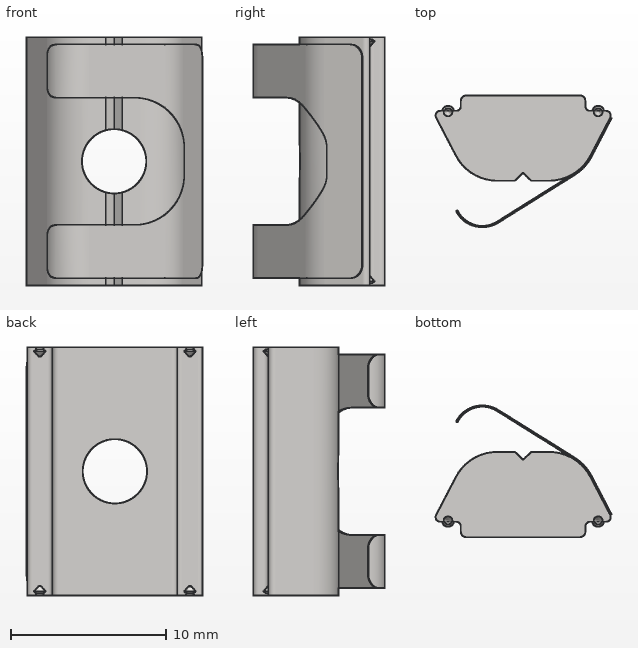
import cadquery as cq
import math

LENGTH = 16.0
BODY_DEPTH = 5.5
BACK_HALF_WIDTH = 4.02
LEDGE_Y = 4.51
NOSE_HALF_WIDTH = 1.66
NOSE_RADIUS = 3.0
FLANK_ANGLE = 62.5
BACK_FILLET = 0.37
STEP_FILLET = 0.29
LEDGE_FILLET = 0.3
HOLE_DIAMETER = 4.13
NOTCH_HALF_WIDTH = 0.53
NOTCH_DEPTH = 0.51

PUNCH_X = 4.83
PUNCH_AXIS_DROP = 0.06
BULGE_RADIUS = 0.38
BULGE_END_RADIUS = PUNCH_AXIS_DROP
BULGE_CREST_DEPTH = 0.27
PUNCH_DEPTH = 0.64
PUNCH_RADIUS = 0.29

SHEET = 0.1
SPRING_LENGTH = 15.04
SPRING_TOP_Y = 4.06
LEAF_ANGLE = 32.0
CURL_RADIUS = 1.8
CURL_END_ANGLE = 64.0
SPRING_FRONT_Y = -3.0
SPRING_CORNER = 0.85
GAP_HEIGHT = 8.2
GAP_END_X = 4.51
GAP_CORNER = 3.2


def from_centre(centre, radius, angle):
    """Point on a circle, with the angle counted from -Y towards +X."""
    turn = math.radians(angle)
    return (centre[0] + radius * math.sin(turn), centre[1] - radius * math.cos(turn))


def along_z(profile, height):
    return profile.extrude(height / 2, both=True)


nose_centre = (NOSE_HALF_WIDTH, NOSE_RADIUS)
flank_start = from_centre(nose_centre, NOSE_RADIUS, FLANK_ANGLE)
flank_tan = math.tan(math.radians(FLANK_ANGLE))


def flank_x(y):
    return flank_start[0] + (y - flank_start[1]) / flank_tan


def make_body():
    ledge_x = flank_x(LEDGE_Y)
    arc_middle = from_centre(nose_centre, NOSE_RADIUS, FLANK_ANGLE / 2)
    half = (
        cq.Workplane("XY")
        .moveTo(0, NOTCH_DEPTH)
        .lineTo(NOTCH_HALF_WIDTH, 0)
        .lineTo(NOSE_HALF_WIDTH, 0)
        .threePointArc(arc_middle, flank_start)
        .lineTo(ledge_x, LEDGE_Y)
        .lineTo(BACK_HALF_WIDTH, LEDGE_Y)
        .lineTo(BACK_HALF_WIDTH, BODY_DEPTH)
        .lineTo(0, BODY_DEPTH)
        .close()
    )
    half = along_z(half, LENGTH)
    corners = (
        (ledge_x, LEDGE_Y, LEDGE_FILLET),
        (BACK_HALF_WIDTH, LEDGE_Y, STEP_FILLET),
        (BACK_HALF_WIDTH, BODY_DEPTH, BACK_FILLET),
    )
    for x, y, radius in corners:
        half = half.edges(cq.NearestToPointSelector((x, y, 0))).fillet(radius)
    body = half.union(half.mirror("YZ"))
    hole = cq.Workplane("XZ").circle(HOLE_DIAMETER / 2).extrude(-BODY_DEPTH)
    return body.cut(hole)


def turned_mark(outline):
    """Revolve (radius, Z) points about the axis of the +X punch mark."""
    mark = cq.Workplane("XZ").polyline(outline).close().revolve(360, (0, 0), (0, 1))
    return mark.translate((PUNCH_X, LEDGE_Y - PUNCH_AXIS_DROP, 0))


def add_punch_marks(body):
    end = LENGTH / 2
    bulge = turned_mark([
        (0, end),
        (BULGE_END_RADIUS, end),
        (BULGE_RADIUS, end - BULGE_CREST_DEPTH),
        (BULGE_END_RADIUS, end - PUNCH_DEPTH),
        (0, end - PUNCH_DEPTH),
    ])
    pocket = turned_mark([(0, end), (PUNCH_RADIUS, end), (0, end - PUNCH_DEPTH)])
    for shape, combine in ((bulge, cq.Workplane.union), (pocket, cq.Workplane.cut)):
        pair = shape.union(shape.mirror("YZ"))
        body = combine(body, pair.union(pair.mirror("XY")))
    return body


def corner_waste(end, angle, along, z, inward):
    """Material outside a rounded sheet corner at the given end point and height.

    The sheet faces the given angle there; along (+1 or -1) leads into the sheet
    towards rising angles or falling ones, and inward leads into it along Z.
    """
    size = SPRING_CORNER
    waste = (
        cq.Workplane("XZ")
        .moveTo(0, 0)
        .lineTo(along * size, 0)
        .radiusArc((0, inward * size), along * inward * size)
        .close()
    )
    waste = waste.extrude(size, both=True)
    return waste.rotate((0, 0, 0), (0, 0, 1), angle).translate((*end, z))


def make_spring():
    curl_y = SPRING_FRONT_Y + CURL_RADIUS + SHEET
    leaf_top = from_centre(nose_centre, NOSE_RADIUS, LEAF_ANGLE)
    leaf_bottom_y = from_centre((0, curl_y), CURL_RADIUS, LEAF_ANGLE)[1]
    leaf_run = (leaf_top[1] - leaf_bottom_y) / math.tan(math.radians(LEAF_ANGLE))
    curl_x = leaf_top[0] - leaf_run - CURL_RADIUS * math.sin(math.radians(LEAF_ANGLE))
    curl_centre = (curl_x, curl_y)

    top = (flank_x(SPRING_TOP_Y), SPRING_TOP_Y)
    bend_middle = (FLANK_ANGLE + LEAF_ANGLE) / 2
    curl_middle = (LEAF_ANGLE - CURL_END_ANGLE) / 2
    outer_bend = NOSE_RADIUS + SHEET
    outer_curl = CURL_RADIUS + SHEET
    profile = (
        cq.Workplane("XY")
        .moveTo(*top)
        .lineTo(*flank_start)
        .threePointArc(from_centre(nose_centre, NOSE_RADIUS, bend_middle), leaf_top)
        .lineTo(*from_centre(curl_centre, CURL_RADIUS, LEAF_ANGLE))
        .threePointArc(
            from_centre(curl_centre, CURL_RADIUS, curl_middle),
            from_centre(curl_centre, CURL_RADIUS, -CURL_END_ANGLE),
        )
        .lineTo(*from_centre(curl_centre, outer_curl, -CURL_END_ANGLE))
        .threePointArc(
            from_centre(curl_centre, outer_curl, curl_middle),
            from_centre(curl_centre, outer_curl, LEAF_ANGLE),
        )
        .lineTo(*from_centre(nose_centre, outer_bend, LEAF_ANGLE))
        .threePointArc(
            from_centre(nose_centre, outer_bend, bend_middle),
            from_centre(nose_centre, outer_bend, FLANK_ANGLE),
        )
        .lineTo(*from_centre(top, SHEET, FLANK_ANGLE))
        .close()
    )
    spring = along_z(profile, SPRING_LENGTH)

    gap_length = GAP_END_X + BODY_DEPTH
    gap = (
        cq.Workplane("XY")
        .box(gap_length, 2 * BODY_DEPTH, GAP_HEIGHT)
        .edges("|Y and >X")
        .fillet(GAP_CORNER)
        .translate((GAP_END_X - gap_length / 2, 0, 0))
    )
    spring = spring.cut(gap)

    tip = from_centre(curl_centre, outer_curl, -CURL_END_ANGLE)
    finger_end = SPRING_LENGTH / 2
    finger_start = GAP_HEIGHT / 2
    waste = (
        corner_waste(tip, -CURL_END_ANGLE, 1, finger_end, -1)
        .union(corner_waste(tip, -CURL_END_ANGLE, 1, finger_start, 1))
        .union(corner_waste(top, FLANK_ANGLE, -1, finger_end, -1))
    )
    spring = spring.cut(waste.union(waste.mirror("XY")))
    return spring


result = add_punch_marks(make_body()).union(make_spring())